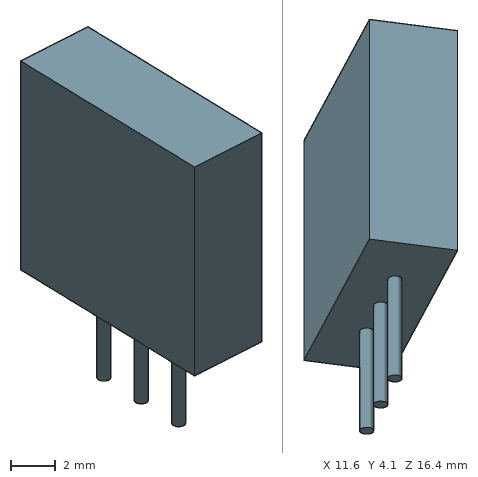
import cadquery as cq

total_height = 16.4
housing_width = 11.6
housing_depth = 4.1
pin_length = 5.1
pin_diameter = 0.64
pin_pitch = 2.5
pin_count = 3

housing_height = total_height - pin_length


def make_housing():
    """Plain rectangular block standing on the XY plane."""
    return cq.Workplane("XY").box(
        housing_width, housing_depth, housing_height, centered=(True, True, False)
    )


def make_pin(x):
    """Round pin hanging from the underside of the housing at the given X."""
    return cq.Workplane("XY").center(x, 0).circle(pin_diameter / 2).extrude(-pin_length)


housing = make_housing()

first_pin_x = -pin_pitch * (pin_count - 1) / 2
pins = [make_pin(first_pin_x + i * pin_pitch) for i in range(pin_count)]

result = cq.Compound.makeCompound([housing.val(), *[pin.val() for pin in pins]])